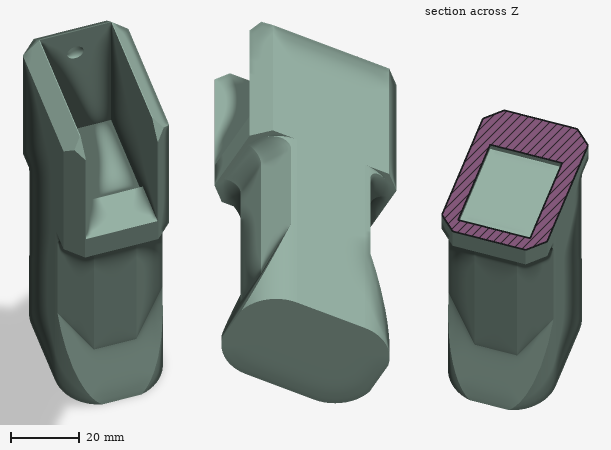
import cadquery as cq

LENGTH_X = 48.3
WIDTH_Y = 32.5
HEIGHT_Z = 118.9

HEAD_BOTTOM = 69.2
HEAD_HEIGHT = HEIGHT_Z - HEAD_BOTTOM
CHAMFER = 5.0

SLOT_WIDTH = 22.0
SLOT_WALL = 4.8
SLOT_FLOOR = HEAD_BOTTOM + SLOT_WALL
SLOT_LEDGE_START = 10.3
SLOT_LEDGE_HEIGHT = 3.6

HOLE_DIAMETER = 5.1
HOLE_HEIGHT = 108.9

CORNER_RADIUS = 26.6 / 2
FLAT_HALF_LENGTH = 11.2
NECK_HALF_LENGTH = 18.0
NECK_FLAT_HALF_WIDTH = 6.5
NECK_EDGE_HALF_LENGTH = 13.0
NECK_FILLET = 4.9
FLARE_TOP = 32.9


def block(length, bottom, height):
    """Upright block of full width, centred on the Z axis."""
    base = cq.Workplane("XY", origin=(0, 0, bottom))
    return base.box(length, WIDTH_Y, height, centered=(True, True, False))


def make_head():
    """Chamfered block: faceted corners at the -X end, mitred corners at the +X end."""
    long_block = (
        block(LENGTH_X + 2 * CHAMFER, HEAD_BOTTOM, HEAD_HEIGHT)
        .translate((CHAMFER, 0, 0))
        .edges("(|Z and <X) or (>Z and (not >X))")
        .chamfer(CHAMFER)
    )
    upright_trim = block(LENGTH_X, HEAD_BOTTOM, HEAD_HEIGHT).edges("|Z and >X").chamfer(CHAMFER)
    top_trim = block(LENGTH_X, HEAD_BOTTOM, HEAD_HEIGHT).edges(">Z and >X").chamfer(CHAMFER)
    return long_block.intersect(upright_trim).intersect(top_trim)


def make_slot():
    """Slot with a raised ledge in its floor near the open end."""
    start = SLOT_WALL - LENGTH_X / 2
    end = LENGTH_X / 2
    ledge = SLOT_FLOOR + SLOT_LEDGE_HEIGHT
    profile = [
        (start, SLOT_FLOOR),
        (SLOT_LEDGE_START, SLOT_FLOOR),
        (SLOT_LEDGE_START, ledge),
        (end, ledge),
        (end, HEIGHT_Z),
        (start, HEIGHT_Z),
    ]
    return cq.Workplane("XZ").polyline(profile).close().extrude(SLOT_WIDTH / 2, both=True)


def make_end_hole():
    """Cylinder that pierces the closed -X end wall into the slot."""
    start = (-LENGTH_X / 2, 0, HOLE_HEIGHT)
    return cq.Workplane("YZ", origin=start).circle(HOLE_DIAMETER / 2).extrude(2 * SLOT_WALL)


def make_grip():
    """Rounded bar trimmed to the faceted neck and the flared foot."""
    bar = (
        block(2 * (FLAT_HALF_LENGTH + CORNER_RADIUS), 0, HEAD_BOTTOM)
        .edges("|Z")
        .fillet(CORNER_RADIUS)
    )

    half_width = WIDTH_Y / 2
    neck_section = [
        (NECK_EDGE_HALF_LENGTH, half_width),
        (NECK_HALF_LENGTH, NECK_FLAT_HALF_WIDTH),
        (NECK_HALF_LENGTH, -NECK_FLAT_HALF_WIDTH),
        (NECK_EDGE_HALF_LENGTH, -half_width),
        (-NECK_EDGE_HALF_LENGTH, -half_width),
        (-NECK_HALF_LENGTH, -NECK_FLAT_HALF_WIDTH),
        (-NECK_HALF_LENGTH, NECK_FLAT_HALF_WIDTH),
        (-NECK_EDGE_HALF_LENGTH, half_width),
    ]
    slab = block(LENGTH_X, HEAD_BOTTOM, NECK_FILLET)
    neck = cq.Workplane("XY").polyline(neck_section).close().extrude(HEAD_BOTTOM).union(slab)
    margin = 1.2
    blend_zone = cq.selectors.BoxSelector(
        (-NECK_HALF_LENGTH - margin, -half_width + margin, HEAD_BOTTOM - margin),
        (NECK_HALF_LENGTH + margin, half_width - margin, HEAD_BOTTOM + margin),
    )
    neck = neck.edges(blend_zone).fillet(NECK_FILLET)

    flare_profile = [
        (-LENGTH_X / 2, 0),
        (LENGTH_X / 2, 0),
        (NECK_EDGE_HALF_LENGTH, FLARE_TOP),
        (-NECK_EDGE_HALF_LENGTH, FLARE_TOP),
    ]
    foot = cq.Workplane("XZ").polyline(flare_profile).close().extrude(half_width, both=True)

    return neck.union(foot).intersect(bar)


result = make_head().union(make_grip()).cut(make_slot()).cut(make_end_hole())